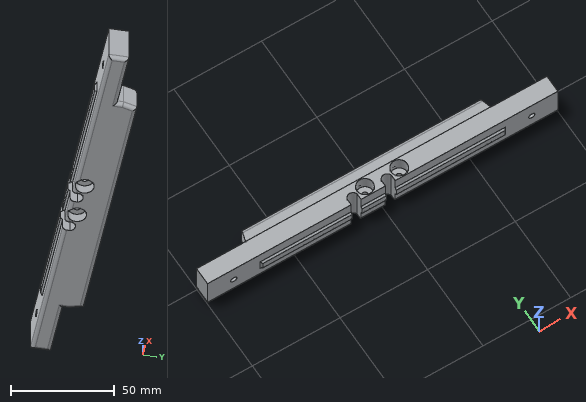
import cadquery as cq
import math

BAR_LENGTH = 200.0
BAR_DEPTH = 10.0
BAR_HEIGHT = 20.0

LEDGE_LENGTH = 140.0
LEDGE_DEPTH = 10.0
LEDGE_HEIGHT = 13.4
LEDGE_STRAIGHT_DEPTH = 3.0
LEDGE_END_INSET = 2.0
LEDGE_TOP_ROUNDING = 2.0

BOTTOM_ROUNDING = 2.0

RIB_PROJECTION = 1.0
RIB_LENGTH = LEDGE_LENGTH
RIB_WIDTH = 6.2
RIB_BEVEL = 1.0
RIB_CENTRE_Z = BAR_HEIGHT / 2

STATION_SPACING = 19.5
FIRST_SLOT_X = -15.2
SLOT_WIDTH = 5.6
SLOT_DEPTH = 5.7
SLOT_ARC_DIAMETER = 5.9
BORE_OFFSET = 8.2
BORE_DIAMETER = 3.0
COUNTERBORE_DIAMETER = 9.0
TOP_COUNTERBORE_DEPTH = 8.0
BOTTOM_COUNTERBORE_DEPTH = 5.0

MOUNT_DIAMETER = 3.5
MOUNT_END_DISTANCE = 15.0

SLOT_XS = [FIRST_SLOT_X, FIRST_SLOT_X + STATION_SPACING]


def make_bar():
    return cq.Workplane("XY").box(BAR_LENGTH, BAR_DEPTH, BAR_HEIGHT, centered=(True, False, False))


def make_ledge():
    half = LEDGE_LENGTH / 2
    straight_y = BAR_DEPTH + LEDGE_STRAIGHT_DEPTH
    rear_y = BAR_DEPTH + LEDGE_DEPTH
    outline = [
        (-half, BAR_DEPTH),
        (half, BAR_DEPTH),
        (half, straight_y),
        (half - LEDGE_END_INSET, rear_y),
        (-half + LEDGE_END_INSET, rear_y),
        (-half, straight_y),
    ]
    ledge = cq.Workplane("XY").polyline(outline).close().extrude(LEDGE_HEIGHT)
    return ledge.edges(">Y and >Z").fillet(LEDGE_TOP_ROUNDING)


def make_rib():
    base = cq.Workplane("XZ").center(0, RIB_CENTRE_Z).rect(RIB_LENGTH, RIB_WIDTH)
    tip = base.workplane(offset=RIB_PROJECTION).rect(RIB_LENGTH - 2 * RIB_BEVEL, RIB_WIDTH - 2 * RIB_BEVEL)
    return tip.loft(ruled=True)


def make_slot(x):
    """Full-height slot open to the front, with a shallow arc as its inner end."""
    half_width = SLOT_WIDTH / 2
    arc_radius = SLOT_ARC_DIAMETER / 2
    arc_rise = arc_radius - math.sqrt(arc_radius**2 - half_width**2)
    shoulder_y = SLOT_DEPTH - arc_rise
    return (
        cq.Workplane("XY")
        .moveTo(x - half_width, -RIB_PROJECTION)
        .lineTo(x + half_width, -RIB_PROJECTION)
        .lineTo(x + half_width, shoulder_y)
        .threePointArc((x, SLOT_DEPTH), (x - half_width, shoulder_y))
        .close()
        .extrude(BAR_HEIGHT)
    )


def make_bore(x):
    """Vertical through bore, counterbored from above and below."""
    axis = cq.Workplane("XY").center(x, BAR_DEPTH / 2)
    bore = axis.circle(BORE_DIAMETER / 2).extrude(BAR_HEIGHT)
    lower = axis.circle(COUNTERBORE_DIAMETER / 2).extrude(BOTTOM_COUNTERBORE_DEPTH)
    upper = (
        axis.workplane(offset=BAR_HEIGHT - TOP_COUNTERBORE_DEPTH)
        .circle(COUNTERBORE_DIAMETER / 2)
        .extrude(TOP_COUNTERBORE_DEPTH)
    )
    return bore.union(lower).union(upper)


def make_mount_holes():
    x = BAR_LENGTH / 2 - MOUNT_END_DISTANCE
    return (
        cq.Workplane("XZ")
        .pushPoints([(-x, BAR_HEIGHT / 2), (x, BAR_HEIGHT / 2)])
        .circle(MOUNT_DIAMETER / 2)
        .extrude(-BAR_DEPTH)
    )


result = make_bar().union(make_ledge())
result = result.faces("<Z").edges().fillet(BOTTOM_ROUNDING)
result = result.union(make_rib()).cut(make_mount_holes())
for slot_x in SLOT_XS:
    result = result.cut(make_slot(slot_x)).cut(make_bore(slot_x + BORE_OFFSET))